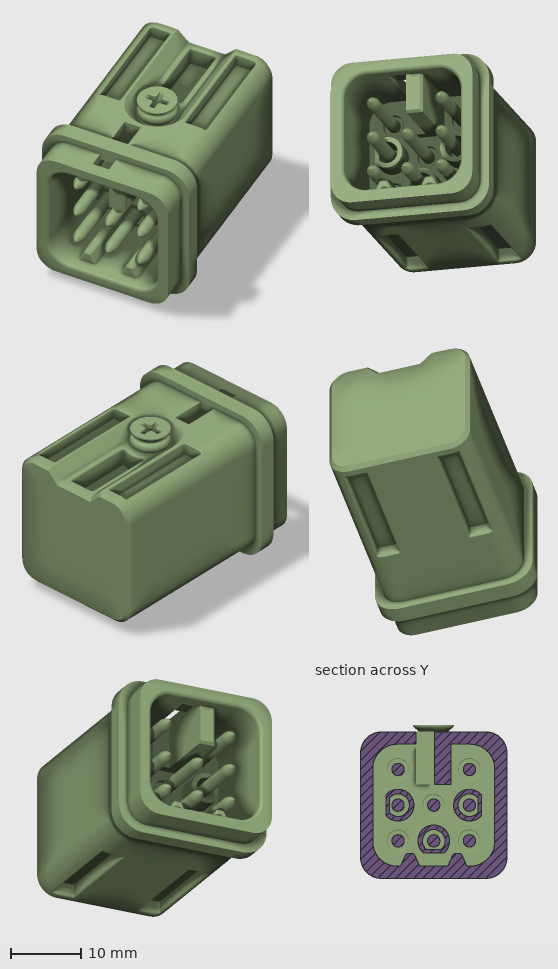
import cadquery as cq

MARGIN = 0.05

LENGTH = 33.7
BODY_WIDTH = 20.95
BODY_HALF = BODY_WIDTH / 2
BODY_CORNER = 3.03
REAR_CHAMFER = 0.57

RING_WIDTH = 23.5
RING_CORNER = 3.75
RING_FRONT = 4.25
RING_REAR = 6.7
RING_SEAT_DEPTH = 0.98

CAVITY_WIDTH = 17.32
CAVITY_HALF = CAVITY_WIDTH / 2
CAVITY_CORNER = 3.4
CAVITY_DEPTH = 13.48
MOUTH_FILLET = 0.55

KEY_FRONT = 1.95
KEY_HALF_WIDTH = 2.5
KEY_SPLIT = 0.1
KEY_BOTTOM = 2.93
KEY_CHAMFER = 0.37
SLOT_REAR = 12.03

RIB_SPACING = 6.75
RIB_TOP = -6.87
RIB_FOOT_HALF = 1.38
RIB_TOP_HALF = 0.57
RIB_CHAMFER = 0.27
RIB_TOP_CHAMFER = 0.17

PITCH = 5.1
PIN_RADIUS = 0.9
PIN_TIP = 1.5
PIN_SHOULDER = 3.15
PIN_NOSE_RADIUS = 0.17
PIN_NOSE_MID = 2.1
PIN_NOSE_MID_RADIUS = 0.6
BORE_RADIUS = 1.48
BORE_DEPTH = 0.67
BORE_CHAMFER = 0.1
COLLAR_RADIUS = 2.3
COLLAR_FRONT = 10.08
COLLAR_FLAT = 1.8
COLLAR_WALL = 0.7
COLLAR_FLAT_WALL = 0.6

SCREW_Y = 17.42
CHANNEL_TOP_HALF = 4.7
CHANNEL_FLOOR_HALF = 2.95
CHANNEL_DEPTH = 1.72
CHANNEL_FLOOR = BODY_HALF - CHANNEL_DEPTH

HEAD_TOP = 11.4
HEAD_RADIUS = 2.9
HEAD_RIM = 0.17
NECK_RADIUS = 1.95
NECK_TOP = 10.3
ORING_SECTION = 0.75
ORING_OUTER_RADIUS = 2.95
ORING_RADIUS = ORING_OUTER_RADIUS - ORING_SECTION
RECESS_REACH = 1.82
RECESS_SHELF = 1.3
RECESS_ARM = 0.85
RECESS_CENTRE_RADIUS = 0.78
RECESS_SHELF_DEPTH = 0.5
RECESS_DEPTH = 1.7

POCKET_REAR = 32.0
POCKET_CORNER = 0.25
POCKET_RIM = 0.25
SIDE_POCKET_FRONT = 15.95
SIDE_POCKET_INNER = 5.22
SIDE_POCKET_OUTER = 8.45
SIDE_POCKET_DEPTH = 2.02
SIDE_POCKET_RIM_DROP = 0.67
MIDDLE_POCKET_HALF = 2.05
MIDDLE_POCKET_FLOOR = 5.9
MIDDLE_POCKET_ARC = 3.75


def box(x_min, x_max, y_min, y_max, z_min, z_max):
    """Axis-aligned block given by its limits."""
    size = (x_max - x_min, y_max - y_min, z_max - z_min)
    return cq.Workplane("XY").box(*size, centered=False).translate((x_min, y_min, z_min))


def section(y):
    """Workplane across the housing whose extrusion runs toward +Y; its local x is -X."""
    return cq.Workplane("XZ", origin=(0, y, 0)).transformed(rotate=(0, 180, 0))


def square_bar(width, corner, y_start, y_end):
    """Rounded square bar along Y."""
    bar = section(y_start).rect(width, width).extrude(y_end - y_start)
    return bar.edges("|Y").fillet(corner)


def cylinder(x, z, radius, y_start, y_end):
    """Cylinder along Y."""
    return section(y_start).center(-x, z).circle(radius).extrude(y_end - y_start)


def make_channel():
    """V-walled channel open at the rear, ending in a half cone around the screw."""
    trough = (
        section(SCREW_Y)
        .moveTo(-CHANNEL_FLOOR_HALF, CHANNEL_FLOOR)
        .lineTo(CHANNEL_FLOOR_HALF, CHANNEL_FLOOR)
        .lineTo(CHANNEL_TOP_HALF, BODY_HALF)
        .lineTo(-CHANNEL_TOP_HALF, BODY_HALF)
        .close()
        .extrude(LENGTH - SCREW_Y)
    )
    cone = (
        cq.Workplane("XZ", origin=(0, SCREW_Y, 0))
        .moveTo(0, CHANNEL_FLOOR)
        .lineTo(CHANNEL_FLOOR_HALF, CHANNEL_FLOOR)
        .lineTo(CHANNEL_TOP_HALF, BODY_HALF)
        .lineTo(0, BODY_HALF)
        .close()
        .revolve(360, (0, 0, 0), (0, 1, 0))
    )
    return trough.union(cone)


def make_shell():
    """Housing with its screw channel and the chamfered rear edge."""
    body = square_bar(BODY_WIDTH, BODY_CORNER, 0, LENGTH).cut(make_channel())
    return body.faces(">Y").edges().chamfer(REAR_CHAMFER)


def edges_within(body, x_min, x_max, y_min, y_max, z_min, z_max):
    """Edges lying wholly inside the given limits, widened by a small margin."""
    low = (x_min - MARGIN, y_min - MARGIN, z_min - MARGIN)
    high = (x_max + MARGIN, y_max + MARGIN, z_max + MARGIN)
    return body.edges(cq.selectors.BoxSelector(low, high, boundingbox=True))


def cut_side_pockets(body):
    """Long pockets beside the channel, repeated on the underside."""
    floor = BODY_HALF - SIDE_POCKET_DEPTH
    for x_side in (-1, 1):
        x_min, x_max = sorted((x_side * SIDE_POCKET_INNER, x_side * SIDE_POCKET_OUTER))
        for z_side in (-1, 1):
            z_min, z_max = sorted((z_side * floor, z_side * BODY_HALF))
            pocket = box(x_min, x_max, SIDE_POCKET_FRONT, POCKET_REAR, z_min, z_max)
            body = body.cut(pocket.edges("|Z").fillet(POCKET_CORNER))
            rim_min, rim_max = sorted((z_side * (BODY_HALF - SIDE_POCKET_RIM_DROP), z_side * BODY_HALF))
            rim = edges_within(body, x_min, x_max, SIDE_POCKET_FRONT, POCKET_REAR, rim_min, rim_max)
            body = rim.fillet(POCKET_RIM)
    return body


def cut_middle_pocket(body):
    """Pocket in the channel floor, its front end concentric with the screw."""
    half = MIDDLE_POCKET_HALF
    pocket = box(-half, half, SCREW_Y, POCKET_REAR, MIDDLE_POCKET_FLOOR, CHANNEL_FLOOR)
    wall_radius = MIDDLE_POCKET_ARC + POCKET_RIM
    around_screw = cq.Workplane("XY", origin=(0, SCREW_Y, 0)).circle(wall_radius).extrude(BODY_HALF)
    pocket = pocket.cut(around_screw).edges("|Z").fillet(POCKET_CORNER)
    body = body.cut(pocket)
    rim = edges_within(body, -half, half, SCREW_Y, POCKET_REAR, CHANNEL_FLOOR, CHANNEL_FLOOR)
    return rim.fillet(POCKET_RIM)


def cut_cavity(body):
    """Mating cavity with a rounded mouth."""
    cavity = square_bar(CAVITY_WIDTH, CAVITY_CORNER, 0, CAVITY_DEPTH)
    half = CAVITY_HALF
    mouth = edges_within(body.cut(cavity), -half, half, 0, 0, -half, half)
    return mouth.fillet(MOUTH_FILLET)


def add_key(body):
    """Stepped key hanging from the cavity roof, and the slot in front of its set-back half."""
    long_half = box(KEY_SPLIT, KEY_HALF_WIDTH, KEY_FRONT, CAVITY_DEPTH, KEY_BOTTOM, CAVITY_HALF)
    long_half = long_half.faces("<Y").edges("<Z or >X").chamfer(KEY_CHAMFER)
    short_half = box(-KEY_HALF_WIDTH, KEY_SPLIT, SLOT_REAR, CAVITY_DEPTH, KEY_BOTTOM, CAVITY_HALF)
    slot = box(-KEY_HALF_WIDTH, KEY_SPLIT, KEY_FRONT, SLOT_REAR, KEY_BOTTOM, BODY_HALF)
    return body.union(long_half).union(short_half).cut(slot)


def add_ribs(body):
    """Two tapered guide ribs standing on the cavity floor."""
    foot = -CAVITY_HALF
    for x in (-RIB_SPACING / 2, RIB_SPACING / 2):
        rib = (
            section(KEY_FRONT)
            .center(-x, 0)
            .moveTo(-RIB_FOOT_HALF, foot)
            .lineTo(RIB_FOOT_HALF, foot)
            .lineTo(RIB_TOP_HALF, RIB_TOP)
            .lineTo(-RIB_TOP_HALF, RIB_TOP)
            .close()
            .extrude(CAVITY_DEPTH - KEY_FRONT)
        )
        rib = rib.faces(">Z").edges("|Y").chamfer(RIB_TOP_CHAMFER)
        body = body.union(rib.faces("<Y").edges("not <Z").chamfer(RIB_CHAMFER))
    return body


def make_pin(x, z):
    """Contact pin along Y with a rounded nose."""
    return (
        cq.Workplane("XY")
        .moveTo(0, PIN_TIP)
        .lineTo(PIN_NOSE_RADIUS, PIN_TIP)
        .threePointArc((PIN_NOSE_MID_RADIUS, PIN_NOSE_MID), (PIN_RADIUS, PIN_SHOULDER))
        .lineTo(PIN_RADIUS, CAVITY_DEPTH + BORE_DEPTH)
        .lineTo(0, CAVITY_DEPTH + BORE_DEPTH)
        .close()
        .revolve(360, (0, 0, 0), (0, 1, 0))
        .translate((x, 0, z))
    )


def flatted(x, z, radius, flat, x_side, z_side, y_start, y_end):
    """Cylinder along Y with one flat facing the given side."""
    reach = 2 * radius
    block = box(-reach, reach, y_start, y_end, -reach, reach)
    block = block.translate((x + x_side * (reach + flat), 0, z + z_side * (reach + flat)))
    return cylinder(x, z, radius, y_start, y_end).cut(block)


def add_contacts(body):
    """Eight contacts: five in plain bores and three inside flatted collars."""
    bore_end = CAVITY_DEPTH + BORE_DEPTH
    plain = [(-PITCH, PITCH), (PITCH, PITCH), (0, 0), (-PITCH, -PITCH), (PITCH, -PITCH)]
    collared = [(-PITCH, 0, -1, 0), (PITCH, 0, 1, 0), (0, -PITCH, 0, -1)]

    for x, z in plain:
        bore = cylinder(x, z, BORE_RADIUS, CAVITY_DEPTH, bore_end)
        mouth_point = cq.Vector(x, CAVITY_DEPTH, z)
        wide = BORE_RADIUS + BORE_CHAMFER
        flare = cq.Solid.makeCone(wide, BORE_RADIUS, BORE_CHAMFER, mouth_point, cq.Vector(0, 1, 0))
        body = body.cut(bore).cut(cq.Workplane(flare)).union(make_pin(x, z))

    inner_radius = COLLAR_RADIUS - COLLAR_WALL
    inner_flat = COLLAR_FLAT - COLLAR_FLAT_WALL
    for x, z, x_side, z_side in collared:
        collar = flatted(x, z, COLLAR_RADIUS, COLLAR_FLAT, x_side, z_side, COLLAR_FRONT, CAVITY_DEPTH)
        bore = flatted(x, z, inner_radius, inner_flat, x_side, z_side, COLLAR_FRONT, bore_end)
        body = body.union(collar).cut(bore).union(make_pin(x, z))
    return body


def make_seal_ring():
    """Square seal ring, seated below the housing surface."""
    inner_width = BODY_WIDTH - 2 * RING_SEAT_DEPTH
    inner_corner = BODY_CORNER - RING_SEAT_DEPTH
    outer = square_bar(RING_WIDTH, RING_CORNER, RING_FRONT, RING_REAR)
    return outer.cut(square_bar(inner_width, inner_corner, RING_FRONT, RING_REAR))


def make_screw():
    """Countersunk screw with a cross recess, standing on the channel floor above an O-ring."""
    axis_plane = cq.Workplane("XZ", origin=(0, SCREW_Y, 0))
    head = (
        axis_plane.moveTo(0, HEAD_TOP)
        .lineTo(HEAD_RADIUS, HEAD_TOP)
        .lineTo(HEAD_RADIUS, HEAD_TOP - HEAD_RIM)
        .lineTo(NECK_RADIUS, NECK_TOP)
        .lineTo(NECK_RADIUS, CHANNEL_FLOOR)
        .lineTo(0, CHANNEL_FLOOR)
        .close()
        .revolve(360, (0, 0, 0), (0, 1, 0))
    )
    oring = (
        axis_plane.center(ORING_RADIUS, CHANNEL_FLOOR + ORING_SECTION)
        .circle(ORING_SECTION)
        .revolve(360, (-ORING_RADIUS, 0, 0), (-ORING_RADIUS, 1, 0))
    )
    return head.union(oring).cut(make_cross_recess())


def make_cross_recess():
    """Cross-shaped recess bounded below by a shallow cone."""
    arm = RECESS_ARM / 2
    low = HEAD_TOP - RECESS_DEPTH
    y_min, y_max = SCREW_Y - RECESS_REACH, SCREW_Y + RECESS_REACH
    cross = box(-RECESS_REACH, RECESS_REACH, SCREW_Y - arm, SCREW_Y + arm, low, HEAD_TOP)
    cross = cross.union(box(-arm, arm, y_min, y_max, low, HEAD_TOP))
    centre = cq.Workplane("XY", origin=(0, SCREW_Y, low)).circle(RECESS_CENTRE_RADIUS).extrude(RECESS_DEPTH)
    cross = cross.union(centre)
    envelope = (
        cq.Workplane("XZ", origin=(0, SCREW_Y, 0))
        .moveTo(0, low)
        .lineTo(RECESS_SHELF, HEAD_TOP - RECESS_SHELF_DEPTH)
        .lineTo(RECESS_REACH, HEAD_TOP)
        .lineTo(0, HEAD_TOP)
        .close()
        .revolve(360, (0, 0, 0), (0, 1, 0))
    )
    return cross.intersect(envelope)


housing = make_shell()
housing = cut_side_pockets(housing)
housing = cut_middle_pocket(housing)
housing = cut_cavity(housing)
housing = add_key(housing)
housing = add_ribs(housing)
housing = add_contacts(housing)

result = housing.union(make_seal_ring()).union(make_screw())